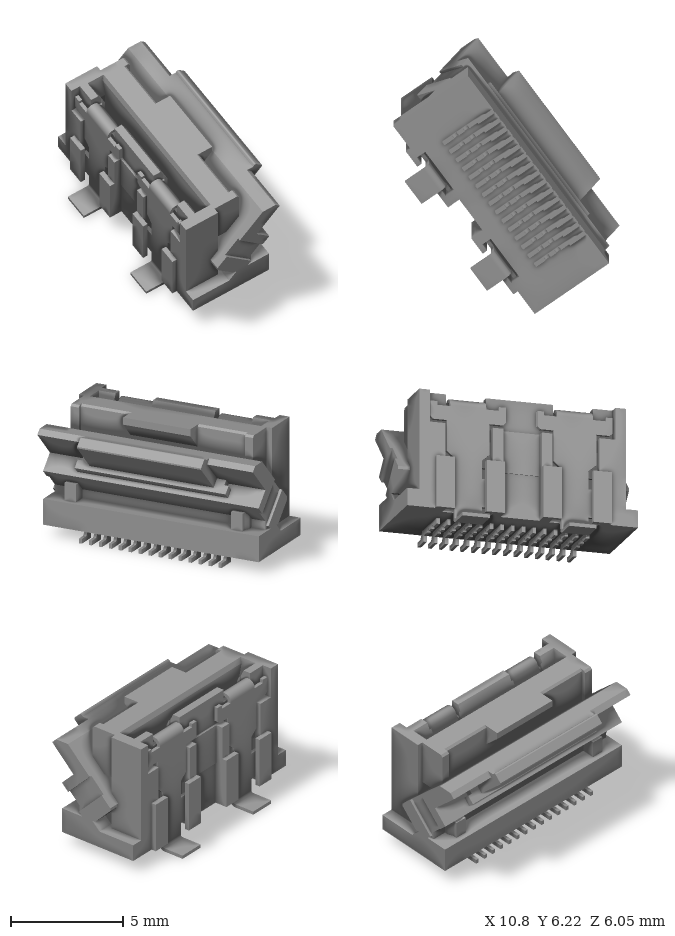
import cadquery as cq
import math

BASE_LENGTH = 10.8
BASE_DEPTH = 4.07
BASE_HEIGHT = 1.22
BASE_FRONT_HEIGHT = 0.81
BASE_STEP_Y = 1.93
BODY_LENGTH = 9.68
BODY_DEPTH = 1.71
TOP_Z = 5.5
OVERHANG_LENGTH = 9.14
OVERHANG_DEPTH = 3.01
OVERHANG_Z = 3.25
OVERHANG_CHAMFER = 0.67
OVERHANG_EDGE_CHAMFER = 0.1
OVERHANG_RECESS_Y = 2.81
OVERHANG_RECESS_LENGTH = 8.32
HOOK_LENGTH = 3.37
HOOK_DEPTH = 3.51
HOOK_LIP = 0.33
CHEEK_TOP_Z = 1.94
CHEEK_DEPTH = 2.27

SLOT_LENGTH = 8.58
SLOT_FLOOR_LENGTH = 7.95
SLOT_FRONT_Y = 0.83
SLOT_BACK_Y = 1.68
SLOT_LIP_Y = 1.58
SLOT_LIP_DEPTH = 0.25
SLOT_FUNNEL_DEPTH = 0.6
SLOT_END_DEPTH = 1.08
SLOT_FLOOR_FRONT_Y = 1.13
SLOT_FLOOR_BACK_Y = 1.51
SLOT_FLOOR_Z = 2.38

CONTACT_COUNT = 15
CONTACT_SPAN = 7.0
CONTACT_PITCH = CONTACT_SPAN / (CONTACT_COUNT - 1)
CONTACT_WIDTH = 0.15
CONTACT_DEPTH = 0.27
LEAD_BOTTOM_Z = -0.55
LEAD_THICKNESS = 0.22
BEAM_FRONT_Y = 1.38
BEAM_BACK_Y = 3.46
LEAD_FRONT_Y = 3.25
LEAD_BEND_Y = 3.74
LEAD_BACK_Y = 4.15
SCALLOP_RADIUS = 0.13
SCALLOP_YS = (2.04, 2.62)
TIP_HEIGHT = 0.32
FRONT_TIP_END_Y = 1.34
BACK_TIP_START_Y = 1.38

CLIP_X = 5 * CONTACT_PITCH
RECESS_LENGTH = 8.68
RECESS_DEPTH = 0.45
RECESS_Z = 4.01
CHANNEL_WIDTH = 2.2
PAD_Z = (2.17, 3.41)
CENTRE_WIDTH = 1.81
CENTRE_DEPTH = 0.35
CENTRE_LOWER_DEPTH = 0.39
CENTRE_STEP_Z = 2.06
RIB_INNER = 0.75
RIB_OUTER = 1.6
RIB_HEIGHT = 2.4
RIB_DEPTH = 0.24
NOTCH_WIDTH = 1.88
NOTCH_Z = 4.87
NOTCH_BACK_Y = 0.98

CLIP_FRONT_Y = 0.14
CLIP_THICKNESS = 0.17
CLIP_BACK_Y = CLIP_FRONT_Y + CLIP_THICKNESS
CLIP_HEAD_WIDTH = 3.52
CLIP_HEAD_Z = 4.2
CLIP_HEAD_CHAMFER = 0.13
CLIP_EAR_WIDTH = 0.31
CLIP_EAR_Z = 5.04
CLIP_STEM_WIDTH = 2.01
CLIP_FOOT_WIDTH = 1.27
CLIP_TAPER_Z = (2.46, 2.78)
BARB_Z = (0.29, 1.61)
ROLL_WIDTH = 1.68
ROLL_RADIUS = 0.33
ROLL_Z = 4.94
TAIL_END_Y = 1.22
TAB_END_Y = -0.99
TAB_THICKNESS = 0.16
TAB_BEND_RADIUS = 0.26

LID_LOWER_END = 2.41
LID_FRONT = -0.65
LID_FOOT_END = 3.2
LID_FOOT_BACK = 1.21
LID_BACK = 1.09
LID_STEP = 4.69
LID_PLATE_BACK = 0.15
LID_PLATE_END = 6.42
LID_TOP_Z = 4.65
LID_TOP_FRONT_Y = LID_TOP_Z + LID_FRONT * math.sqrt(2)
LID_NOSE = 0.1
SIDE_SLOT_TOP = 4.19
SIDE_SLOT_DEPTH = 0.13
LEDGE_LENGTH = 7.56
LEDGE_ROOT_LENGTH = 7.13
LEDGE_ROOT_BACK = 0.41
LEDGE_TOP = 5.04
LEDGE_BACK = 0.84
HANDLE_LENGTH = 6.21
HANDLE_BACK = 0.62
HANDLE_END = 6.83
HANDLE_NOSE = 0.049
HANDLE_BUMP_TOP = (4.87, 4.75)
HANDLE_BUMP_FRONT_Y = 4.74
HANDLE_BUMP_SLOPE = 0.06

HINGE_WALL_FRONT_Y = 2.81
HINGE_WALL_HEIGHT = 1.66
POST_FRONT_Y = 3.19
POST_BACK_Y = 3.81
POST_TAPER_Y = (3.38, 3.62)
POST_HEIGHT = 2.06
POST_OUTER_X = 4.57
POST_STEP_X = 4.46
POST_INNER_X = 3.89


def block(x_range, y_range, z_range):
    """Box between the given limits."""
    size = [high - low for low, high in (x_range, y_range, z_range)]
    corner = (x_range[0], y_range[0], z_range[0])
    return cq.Workplane("XY").box(*size, centered=False).translate(corner)


def centred_block(width, y_range, z_range, x=0.0):
    """Box of the given width centred on x."""
    return block((x - width / 2, x + width / 2), y_range, z_range)


def bar(points, width, x=0.0):
    """Side profile of (y, z) points, extruded along X and centred on x."""
    profile = cq.Workplane("YZ").polyline(points).close()
    return profile.extrude(width / 2, both=True).translate((x, 0, 0))


def lid_point(along, across):
    """(y, z) of a point given along and across the inclined lid."""
    return ((along + across) / math.sqrt(2), (along - across) / math.sqrt(2))


def make_housing():
    """Base, body, and the overhang with its central hook."""
    climb = BASE_HEIGHT - BASE_FRONT_HEIGHT
    base = bar([(0, 0), (BASE_DEPTH, 0), (BASE_DEPTH, BASE_HEIGHT), (BASE_STEP_Y + climb, BASE_HEIGHT),
                (BASE_STEP_Y, BASE_FRONT_HEIGHT), (0, BASE_FRONT_HEIGHT)], BASE_LENGTH)
    body = centred_block(BODY_LENGTH, (0, BODY_DEPTH), (0, TOP_Z))
    cheek = centred_block(OVERHANG_LENGTH, (BODY_DEPTH, CHEEK_DEPTH), (0, CHEEK_TOP_Z))

    edge = OVERHANG_EDGE_CHAMFER
    overhang = bar([(BODY_DEPTH, OVERHANG_Z), (OVERHANG_DEPTH - OVERHANG_CHAMFER, OVERHANG_Z),
                    (OVERHANG_DEPTH, OVERHANG_Z + OVERHANG_CHAMFER), (OVERHANG_DEPTH, TOP_Z - edge),
                    (OVERHANG_DEPTH - edge, TOP_Z), (BODY_DEPTH, TOP_Z)], OVERHANG_LENGTH)
    recess = bar([(OVERHANG_RECESS_Y - edge, TOP_Z), (OVERHANG_RECESS_Y, TOP_Z - edge),
                  (OVERHANG_RECESS_Y, OVERHANG_Z), (HOOK_DEPTH, OVERHANG_Z), (HOOK_DEPTH, TOP_Z)],
                 OVERHANG_RECESS_LENGTH)
    hook_lip_z = TOP_Z - HOOK_LIP
    hook_root_z = hook_lip_z - (HOOK_DEPTH - OVERHANG_RECESS_Y)
    hook_root_y = OVERHANG_RECESS_Y - edge
    hook = bar([(hook_root_y, TOP_Z), (HOOK_DEPTH, TOP_Z), (HOOK_DEPTH, hook_lip_z),
                (OVERHANG_RECESS_Y, hook_root_z), (hook_root_y, hook_root_z)], HOOK_LENGTH)
    return base.union(body).union(cheek).union(overhang.cut(recess)).union(hook)


def make_posts():
    """Mirrored pair of guide posts with a tapered outer side."""
    outline = [(POST_OUTER_X, POST_FRONT_Y), (POST_OUTER_X, POST_TAPER_Y[0]), (POST_STEP_X, POST_TAPER_Y[1]),
               (POST_STEP_X, POST_BACK_Y), (POST_INNER_X, POST_BACK_Y), (POST_INNER_X, POST_FRONT_Y)]
    post = cq.Workplane("XY").polyline(outline).close().extrude(POST_HEIGHT)
    return post.union(post.mirror("YZ"))


def make_hinge_wall():
    """Low wall that reaches into the side slots of the lid."""
    return centred_block(BASE_LENGTH - 2 * SIDE_SLOT_DEPTH, (HINGE_WALL_FRONT_Y, POST_FRONT_Y),
                         (0, HINGE_WALL_HEIGHT))


def make_lid():
    """Open lid with slotted ends, ledge and handle."""
    plate_end = lid_point(LID_PLATE_END, LID_PLATE_BACK)
    end_top_y = plate_end[0] + plate_end[1] - LID_TOP_Z
    heel_y = LID_LOWER_END * math.sqrt(2) - BASE_HEIGHT
    foot_y = LID_FOOT_BACK * math.sqrt(2) + BASE_HEIGHT
    lid = bar([lid_point(LID_LOWER_END, LID_FRONT + LID_NOSE), lid_point(LID_LOWER_END + LID_NOSE, LID_FRONT),
               (LID_TOP_FRONT_Y, LID_TOP_Z), (end_top_y, LID_TOP_Z), plate_end,
               lid_point(LID_STEP, LID_PLATE_BACK), lid_point(LID_STEP, LID_BACK),
               lid_point(LID_FOOT_END, LID_BACK), lid_point(LID_FOOT_END, LID_FOOT_BACK),
               (foot_y, BASE_HEIGHT), (heel_y, BASE_HEIGHT)], BASE_LENGTH)
    ledge_root = make_ledge(LID_PLATE_BACK, LEDGE_ROOT_BACK, LEDGE_ROOT_LENGTH)
    ledge = make_ledge(LEDGE_ROOT_BACK, LEDGE_BACK, LEDGE_LENGTH)
    side_slot = bar([lid_point(LID_FOOT_END, LID_FRONT), lid_point(SIDE_SLOT_TOP, LID_FRONT),
                     lid_point(SIDE_SLOT_TOP, LID_BACK), lid_point(LID_FOOT_END, LID_BACK)], SIDE_SLOT_DEPTH)
    for side in (-1, 1):
        lid = lid.cut(side_slot.translate((side * (BASE_LENGTH - SIDE_SLOT_DEPTH) / 2, 0, 0)))
    return lid.union(ledge_root).union(ledge).union(make_handle())


def make_ledge(front, back, length):
    """Bar on the step of the lid, between two heights across the lid."""
    return bar([lid_point(LID_STEP, front), lid_point(LEDGE_TOP, front),
                lid_point(LEDGE_TOP, back), lid_point(LID_STEP, back)], length)


def make_handle():
    """Finger plate under the lid, ending in a rounded bump."""
    return (cq.Workplane("YZ").moveTo(*lid_point(LID_STEP, HANDLE_BACK))
            .lineTo(*lid_point(HANDLE_END - HANDLE_NOSE, HANDLE_BACK))
            .lineTo(*lid_point(HANDLE_END, HANDLE_BACK - HANDLE_NOSE))
            .lineTo(*lid_point(HANDLE_END, LID_PLATE_BACK))
            .threePointArc(HANDLE_BUMP_TOP,
                           (HANDLE_BUMP_FRONT_Y + HANDLE_BUMP_SLOPE, LID_TOP_Z + HANDLE_BUMP_SLOPE))
            .lineTo(HANDLE_BUMP_FRONT_Y, LID_TOP_Z)
            .lineTo(LID_TOP_FRONT_Y, LID_TOP_Z)
            .lineTo(*lid_point(LID_STEP, 0)).close()
            .extrude(HANDLE_LENGTH / 2, both=True))


def make_slot():
    """Cable slot whose mouth narrows on all four sides."""
    funnel_z = TOP_Z - SLOT_FUNNEL_DEPTH
    section = bar([(SLOT_FRONT_Y, TOP_Z), (SLOT_BACK_Y, TOP_Z), (SLOT_LIP_Y, TOP_Z - SLOT_LIP_DEPTH),
                   (SLOT_FLOOR_BACK_Y, SLOT_FLOOR_Z), (SLOT_FLOOR_FRONT_Y, SLOT_FLOOR_Z),
                   (SLOT_FLOOR_FRONT_Y, funnel_z)], SLOT_LENGTH)
    end_z = TOP_Z - SLOT_END_DEPTH
    top_x = SLOT_LENGTH / 2
    floor_x = SLOT_FLOOR_LENGTH / 2
    ends = (cq.Workplane("XZ")
            .polyline([(-top_x, TOP_Z), (top_x, TOP_Z), (floor_x, end_z), (floor_x, SLOT_FLOOR_Z),
                       (-floor_x, SLOT_FLOOR_Z), (-floor_x, end_z)]).close()
            .extrude(-BASE_DEPTH))
    return section.intersect(ends)


def make_front_recess():
    """Stepped recess behind the clips, open to the front."""
    recess = centred_block(RECESS_LENGTH, (0, RECESS_DEPTH), (RECESS_Z, TOP_Z))
    recess = recess.union(centred_block(CENTRE_WIDTH, (0, CENTRE_DEPTH), (CENTRE_STEP_Z, RECESS_Z)))
    recess = recess.union(centred_block(CENTRE_WIDTH, (0, CENTRE_LOWER_DEPTH), (0, CENTRE_STEP_Z)))
    for x in (-CLIP_X, CLIP_X):
        recess = recess.union(centred_block(CHANNEL_WIDTH, (0, RECESS_DEPTH), (0, RECESS_Z), x))
        recess = recess.cut(centred_block(CHANNEL_WIDTH, (CLIP_BACK_Y, RECESS_DEPTH), PAD_Z, x))
        recess = recess.union(centred_block(NOTCH_WIDTH, (0, NOTCH_BACK_Y), (NOTCH_Z, TOP_Z), x))
    return recess


def make_ribs(x):
    """Pair of guard ribs in front of one clip."""
    left = block((x - RIB_OUTER, x - RIB_INNER), (-RIB_DEPTH, 0), (0, RIB_HEIGHT))
    right = block((x + RIB_INNER, x + RIB_OUTER), (-RIB_DEPTH, 0), (0, RIB_HEIGHT))
    return left.union(right)


TAIL_ANGLE = math.atan2(SLOT_FLOOR_FRONT_Y - SLOT_FRONT_Y, SLOT_FUNNEL_DEPTH)
ROLL_Y = CLIP_FRONT_Y + ROLL_RADIUS


def roll_point(radius, angle):
    """(y, z) of a point on the clip roll, the angle rising from +Y."""
    return (ROLL_Y + radius * math.cos(angle), ROLL_Z + radius * math.sin(angle))


TAIL_START = roll_point(ROLL_RADIUS, TAIL_ANGLE)
TAIL_DROP = (TAIL_END_Y - TAIL_START[0]) / math.tan(TAIL_ANGLE)
TAIL_END = (TAIL_END_Y, TAIL_START[1] - TAIL_DROP)


def make_tail_relief(x):
    """Part of the slot wall removed to clear the clip tail."""
    return bar([TAIL_START, TAIL_END, (TAIL_END_Y, TOP_Z), (TAIL_START[0], TOP_Z)], ROLL_WIDTH, x)


def make_clip(x):
    """Bent sheet clip: front plate, barbs, solder tab, and a roll ending in a spring tail."""
    head = CLIP_HEAD_WIDTH / 2
    ear = head - CLIP_EAR_WIDTH
    stem = CLIP_STEM_WIDTH / 2
    foot = CLIP_FOOT_WIDTH / 2
    shoulder_z = CLIP_HEAD_Z + CLIP_HEAD_CHAMFER
    half = [(ear, NOTCH_Z), (ear, CLIP_EAR_Z), (head, CLIP_EAR_Z), (head, shoulder_z),
            (head - CLIP_HEAD_CHAMFER, CLIP_HEAD_Z), (stem, CLIP_HEAD_Z), (stem, CLIP_TAPER_Z[1]),
            (foot, CLIP_TAPER_Z[0]), (foot, BARB_Z[0])]
    outline = half + [(-px, pz) for px, pz in reversed(half)]
    plate = (cq.Workplane("XZ", origin=(0, CLIP_FRONT_Y, 0)).polyline(outline).close()
             .extrude(-CLIP_THICKNESS))
    barbs = centred_block(CHANNEL_WIDTH, (CLIP_FRONT_Y, CLIP_BACK_Y), BARB_Z)

    inner_bend = TAB_BEND_RADIUS - TAB_THICKNESS
    tab_top_z = LEAD_BOTTOM_Z + TAB_THICKNESS
    tab = (cq.Workplane("YZ").moveTo(CLIP_BACK_Y, BARB_Z[0])
           .lineTo(CLIP_BACK_Y, LEAD_BOTTOM_Z + TAB_BEND_RADIUS)
           .radiusArc((CLIP_BACK_Y - TAB_BEND_RADIUS, LEAD_BOTTOM_Z), TAB_BEND_RADIUS)
           .lineTo(TAB_END_Y, LEAD_BOTTOM_Z).lineTo(TAB_END_Y, tab_top_z)
           .lineTo(CLIP_FRONT_Y - inner_bend, tab_top_z)
           .radiusArc((CLIP_FRONT_Y, tab_top_z + inner_bend), -inner_bend)
           .lineTo(CLIP_FRONT_Y, BARB_Z[0]).close()
           .extrude(foot, both=True))

    inner = ROLL_RADIUS - CLIP_THICKNESS
    inner_start = roll_point(inner, TAIL_ANGLE)
    inner_end = (TAIL_END[0] - CLIP_THICKNESS * math.cos(TAIL_ANGLE),
                 TAIL_END[1] - CLIP_THICKNESS * math.sin(TAIL_ANGLE))
    roll = (cq.Workplane("YZ").moveTo(CLIP_FRONT_Y, NOTCH_Z).lineTo(CLIP_FRONT_Y, ROLL_Z)
            .threePointArc(roll_point(ROLL_RADIUS, math.pi / 2), TAIL_START)
            .lineTo(*TAIL_END).lineTo(*inner_end).lineTo(*inner_start)
            .threePointArc(roll_point(inner, math.pi / 2), (CLIP_BACK_Y, ROLL_Z))
            .lineTo(CLIP_BACK_Y, NOTCH_Z).close()
            .extrude(ROLL_WIDTH / 2, both=True))
    return plate.union(barbs).union(tab).union(roll).translate((x, 0, 0))


def make_lead():
    """Beam under the housing with two scallops and a bent solder foot."""
    lead_top_z = LEAD_BOTTOM_Z + LEAD_THICKNESS
    lead = bar([(BEAM_FRONT_Y, 0), (BEAM_BACK_Y, 0), (LEAD_BEND_Y, lead_top_z), (LEAD_BACK_Y, lead_top_z),
                (LEAD_BACK_Y, LEAD_BOTTOM_Z), (LEAD_FRONT_Y, LEAD_BOTTOM_Z), (LEAD_FRONT_Y, -CONTACT_DEPTH),
                (BEAM_FRONT_Y, -CONTACT_DEPTH)], CONTACT_WIDTH)
    scallops = (cq.Workplane("YZ").pushPoints([(y, -CONTACT_DEPTH) for y in SCALLOP_YS])
                .circle(SCALLOP_RADIUS).extrude(CONTACT_WIDTH, both=True))
    return lead.cut(scallops)


def make_tip(front_y, back_y):
    """Contact tip on the slot floor, its top falling towards the back."""
    return bar([(front_y, SLOT_FLOOR_Z), (front_y, SLOT_FLOOR_Z + TIP_HEIGHT),
                (back_y, SLOT_FLOOR_Z + TIP_HEIGHT - (back_y - front_y)), (back_y, SLOT_FLOOR_Z)],
               CONTACT_WIDTH)


housing = make_housing().union(make_hinge_wall()).union(make_posts()).union(make_lid())
housing = housing.cut(make_slot()).cut(make_front_recess())

for clip_x in (-CLIP_X, CLIP_X):
    housing = housing.union(make_ribs(clip_x)).cut(make_tail_relief(clip_x)).union(make_clip(clip_x))

lead = make_lead()
front_tip = make_tip(SLOT_FLOOR_FRONT_Y, FRONT_TIP_END_Y)
back_tip = make_tip(BACK_TIP_START_Y, SLOT_FLOOR_BACK_Y)
for index in range(CONTACT_COUNT):
    contact_x = (index - (CONTACT_COUNT - 1) / 2) * CONTACT_PITCH
    housing = housing.union(lead.translate((contact_x, 0, 0)))
    housing = housing.union(front_tip.translate((contact_x, 0, 0)))
    if index % 2 == 1:
        housing = housing.union(back_tip.translate((contact_x, 0, 0)))

result = housing